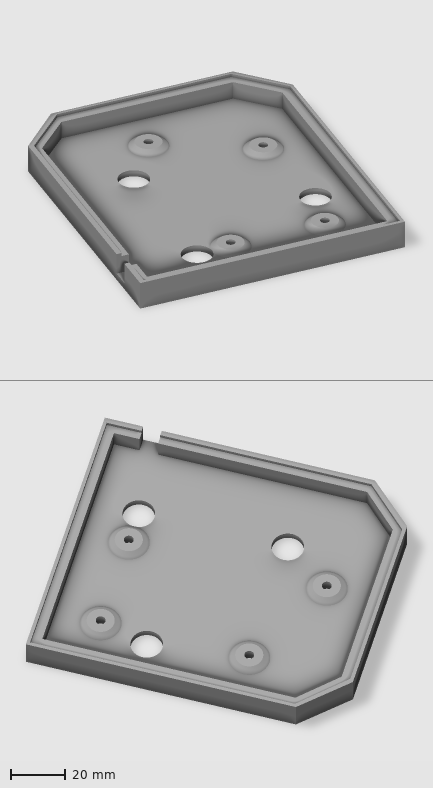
import cadquery as cq

length = 121.2
width = 107.0
height = 11.2
corner_x = 17.2
corner_y = 16.7

floor_thickness = 2.7
wall = 5.0
cavity_corner = 13.8

rim = 1.3
front_rim = 2.1
rebate_depth = 1.3
rebate_corner = 16.6

slot_width = 7.2
slot_start = 99.3

boss_base_radius = 7.8
boss_top_radius = 5.2
boss_height = 1.8
screw_hole_diameter = 3.6
right_column = 98.8
middle_column = 41.6
left_column = 22.5
back_row = 84.4
front_row = 46.3
boss_centers = [
    (middle_column, back_row),
    (right_column, back_row),
    (right_column, front_row),
    (left_column, front_row),
]

clearance_diameter = 12.1
clearance_centers = [(79.8, 88.9), (middle_column, 32.1), (right_column, 32.7)]


def clipped_plate(left, front, right, back, clip_x, clip_y, bottom, top):
    """Rectangular plate with both corners on its left side cut off."""
    outline = [
        (left + clip_x, front),
        (right, front),
        (right, back),
        (left + clip_x, back),
        (left, back - clip_y),
        (left, front + clip_y),
    ]
    return cq.Workplane("XY").workplane(offset=bottom).polyline(outline).close().extrude(top - bottom)


def standoff(center):
    """Solid cone frustum standing on the floor."""
    cone = cq.Solid.makeCone(boss_base_radius, boss_top_radius, boss_height)
    return cone.translate(cq.Vector(center[0], center[1], floor_thickness))


def through_holes(centers, diameter):
    """Vertical cutters reaching through the full height."""
    return cq.Workplane("XY").pushPoints(centers).circle(diameter / 2).extrude(height)


body = clipped_plate(0, 0, length, width, corner_x, corner_y, 0, height)
cavity = clipped_plate(
    wall, wall, length - wall, width - wall, cavity_corner, cavity_corner, floor_thickness, height
)
rebate = clipped_plate(
    rim, front_rim, length - rim, width - rim, rebate_corner, rebate_corner, height - rebate_depth, height
)
tray = body.cut(cavity).cut(rebate)

slot = cq.Workplane("XY").box(slot_width, wall, height - floor_thickness, centered=False)
tray = tray.cut(slot.translate((slot_start, 0, floor_thickness)))

for boss_center in boss_centers:
    tray = tray.union(cq.Workplane(standoff(boss_center)))

tray = tray.cut(through_holes(boss_centers, screw_hole_diameter))
result = tray.cut(through_holes(clearance_centers, clearance_diameter))